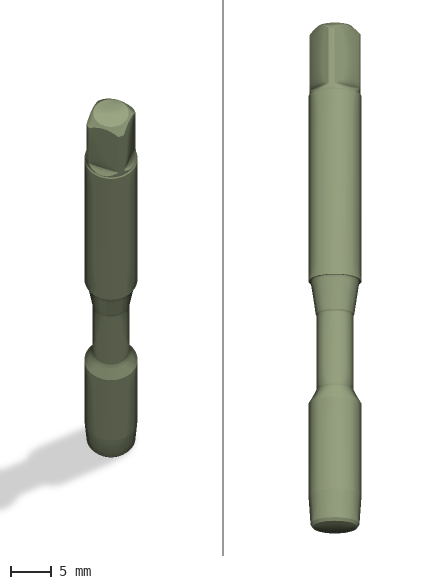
import cadquery as cq

total_length = 63.6
body_diameter = 6.5
stock_diameter = 6.25
neck_diameter = 4.5

tip_diameter = 5.5
lead_diameter = 6.0
tip_chamfer_height = 0.4
lead_top = 3.95
head_shoulder = 15.65
shoulder_ledge_diameter = 4.9
shoulder_ledge_height = 17.05
head_top = 17.5

taper_bottom = 26.9
taper_large_diameter = 6.0
taper_small_diameter = 4.7
taper_rim_height = 0.2
shank_bottom = 31.3
shank_top = 54.95
shank_chamfer = (body_diameter - stock_diameter) / 2

square_width = 4.9
square_bottom = 55.7
top_face_diameter = 4.3
top_chamfer = (stock_diameter - top_face_diameter) / 2


def turned(profile):
    """Revolve a list of (diameter, height) corners about the Z axis."""
    bottom = profile[0][1]
    top = profile[-1][1]
    corners = [(0, bottom)] + [(diameter / 2, height) for diameter, height in profile] + [(0, top)]
    return cq.Workplane("XZ").polyline(corners).close().revolve(360, (0, 0), (0, 1))


def make_cutting_head():
    """Threaded head with a tapered lead below and a conical shoulder above."""
    return turned([
        (tip_diameter, 0),
        (lead_diameter, tip_chamfer_height),
        (body_diameter, lead_top),
        (body_diameter, head_shoulder),
        (shoulder_ledge_diameter, shoulder_ledge_height),
        (neck_diameter, head_top),
    ])


def make_flat_cutter():
    """Prism that cuts one flat on the +X side, with a 45 degree run-out at its foot."""
    flat_x = square_width / 2
    outer_x = body_diameter
    return (
        cq.Workplane("XZ")
        .polyline([
            (flat_x, total_length),
            (flat_x, square_bottom),
            (outer_x, square_bottom - (outer_x - flat_x)),
            (outer_x, total_length),
        ])
        .close()
        .extrude(body_diameter, both=True)
    )


def make_shank():
    """Neck, taper and cylindrical shank ending in a driving square."""
    shank = turned([
        (neck_diameter, head_top),
        (neck_diameter, taper_bottom),
        (taper_small_diameter, taper_bottom + taper_rim_height),
        (taper_large_diameter, shank_bottom),
        (body_diameter, shank_bottom),
        (body_diameter, shank_top - shank_chamfer),
        (stock_diameter, shank_top),
        (stock_diameter, total_length - top_chamfer),
        (top_face_diameter, total_length),
    ])
    for angle in (0, 90, 180, 270):
        shank = shank.cut(make_flat_cutter().rotate((0, 0, 0), (0, 0, 1), angle))
    return shank


cutting_head = make_cutting_head()
shank = make_shank()
result = cq.Compound.makeCompound([cutting_head.val(), shank.val()])